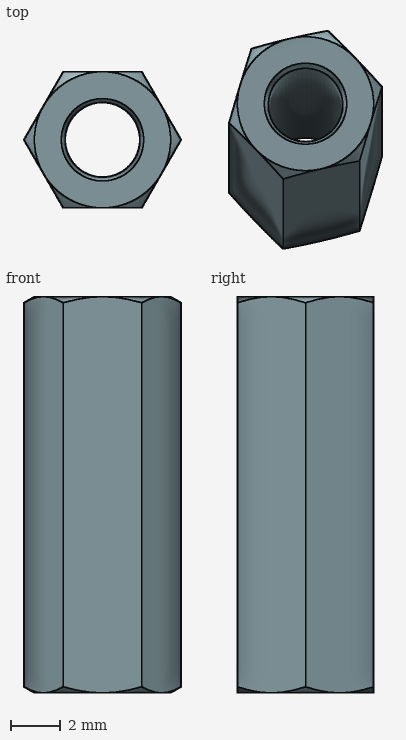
import cadquery as cq
import math

length = 16.0
across_flats = 5.5
across_corners = across_flats / math.cos(math.radians(30))
bore_diameter = 3.0
countersink_diameter = 3.33
countersink_angle = 60.0
countersink_depth = (countersink_diameter - bore_diameter) / 2 / math.tan(math.radians(countersink_angle / 2))

chamfer_angle = 30.0
corner_radius = across_corners / 2
face_radius = across_flats / 2
chamfer_height = (corner_radius - face_radius) * math.tan(math.radians(chamfer_angle))


def hex_body():
    return cq.Workplane("XY").polygon(6, across_corners).extrude(length / 2, both=True)


def chamfer_envelope():
    """Round bar with conical ends; only the corners of the hexagon reach the cones."""
    end = length / 2
    shoulder = end - chamfer_height
    profile = [
        (0, -end),
        (face_radius, -end),
        (corner_radius, -shoulder),
        (corner_radius, shoulder),
        (face_radius, end),
        (0, end),
    ]
    return cq.Workplane("XZ").polyline(profile).close().revolve(360, (0, 0), (0, 1))


def bore():
    """Through bore with a countersink at each end, as one solid to cut away."""
    end = length / 2
    cone_bottom = end - countersink_depth
    bore_radius = bore_diameter / 2
    mouth_radius = countersink_diameter / 2
    profile = [
        (0, -end),
        (mouth_radius, -end),
        (bore_radius, -cone_bottom),
        (bore_radius, cone_bottom),
        (mouth_radius, end),
        (0, end),
    ]
    return cq.Workplane("XZ").polyline(profile).close().revolve(360, (0, 0), (0, 1))


result = hex_body().intersect(chamfer_envelope()).cut(bore())